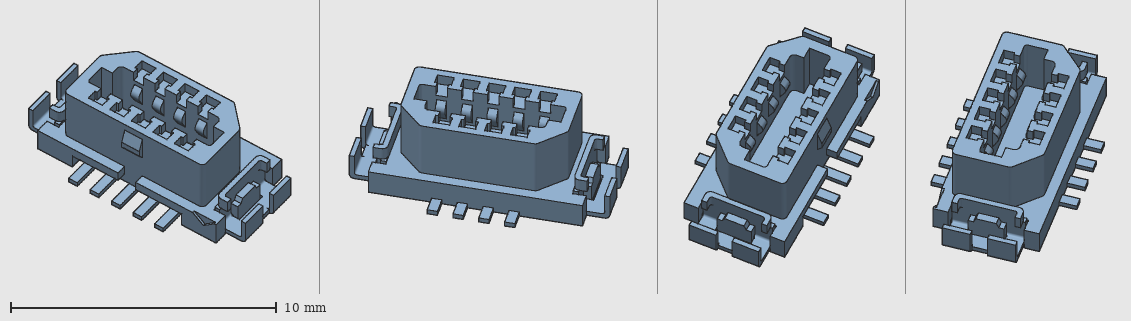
import cadquery as cq
import math

base_length = 8.3
base_width = 4.2
base_height = 1.0
wall_clear = 0.05

shell_length = 6.5
shell_width = 3.36
shell_top = 3.3
shell_chamfer = 1.0
shell_edge_radius = 0.2

cavity_length = 5.7
cavity_upper_length = 4.7
cavity_width = 1.4
cavity_step_y = 0.2
cavity_floor = 1.0
cavity_low_radius = 0.12
cavity_high_radius = 0.2

pitch = 1.0
front_count = 5
back_count = 4
opening_depth = 0.43
opening_neck_width = 0.45
opening_neck_length = 0.24
opening_head_width = 0.65
opening_head_length = 0.43
nose_width = 0.38
nose_height = 0.86
nose_reach = 0.24
nose_lead = 0.16
nose_embed = 0.1
nose_gap = 0.21

pin_width = 0.4
pin_thickness = 0.2
pin_span = 5.6
pin_anchor = 0.2

window_length = 5.08
window_height = 0.6
latch_width = 0.82
latch_reach = 0.19
latch_bottom = 2.0
latch_land_low = 2.22
latch_land_high = 2.49
latch_top = 3.0
underside_setback = 0.2

mark_x = 3.56
mark_width = 1.0
mark_height = 0.4
mark_depth = 0.1

metal = 0.2
wall_metal = 0.22
bend_inner = 0.1
bend_outer = 0.2
clip_length = 10.1
clip_width = 2.9
clip_inner_x = 3.62
clip_wall_top = 1.09
lug_gap = 0.68
hook_top = 1.6
hook_width = 2.72
hook_inner = 0.1
hook_outer = 0.22
slot_width = 1.48
slot_inner_x = 3.91
slot_outer_x = 4.25

tab_width = 1.42
tab_shoulder_width = 1.0
tab_top_width = 0.8
tab_shoulder_z = 0.8
tab_top = base_height

base_end = base_length / 2
base_side = base_width / 2
shell_side = shell_width / 2
cavity_side = cavity_width / 2


def block(x0, x1, y0, y1, z0, z1):
    """Box given by its limits along each axis."""
    return cq.Workplane("XY").box(x1 - x0, y1 - y0, z1 - z0, centered=False).translate((x0, y0, z0))


def row(count):
    """Positions of equally pitched contacts centred on X = 0."""
    return [(i - (count - 1) / 2) * pitch for i in range(count)]


def make_base():
    body = cq.Workplane("XY").box(base_length, base_width, base_height, centered=(True, True, False))
    notch_side = clip_width / 2 + wall_clear
    for side in (-1, 1):
        x0, x1 = sorted((side * clip_inner_x, side * base_end))
        body = body.cut(block(x0, x1, -notch_side, notch_side, 0, base_height))
        x0, x1 = sorted((side * clip_inner_x, side * (clip_inner_x + wall_metal)))
        ledge = block(x0, x1, -notch_side, notch_side, 0, metal)
        body = body.union(ledge)
    return body


def make_shell():
    half = shell_length / 2
    outline = [
        (-half, -shell_side),
        (half, -shell_side),
        (half, shell_side - shell_chamfer),
        (half - shell_chamfer, shell_side),
        (shell_chamfer - half, shell_side),
        (-half, shell_side - shell_chamfer),
    ]
    shell = cq.Workplane("XY").polyline(outline).close().extrude(shell_top)
    return shell.edges("|Z").fillet(shell_edge_radius)


def make_cavity():
    depth = shell_top - cavity_floor
    lower_width = cavity_side + cavity_step_y
    lower = cq.Workplane("XY").box(cavity_length, lower_width, depth, centered=(True, False, False))
    lower = lower.edges("|Z and <Y").fillet(cavity_low_radius).translate((0, -cavity_side, cavity_floor))
    upper = cq.Workplane("XY").box(cavity_upper_length, cavity_side, depth, centered=(True, False, False))
    upper = upper.edges("|Z and >Y").fillet(cavity_high_radius).translate((0, 0, cavity_floor))
    return lower.union(upper)


def make_opening(x, side):
    """T-shaped contact opening, on the front (-1) or back (1) of the cavity."""
    z0 = shell_top - opening_depth
    neck_end = cavity_side + opening_neck_length
    head_end = neck_end + opening_head_length
    neck_half = opening_neck_width / 2
    head_half = opening_head_width / 2
    y0, y1 = sorted((side * cavity_step_y, side * neck_end))
    neck = block(x - neck_half, x + neck_half, y0, y1, z0, shell_top)
    y0, y1 = sorted((side * neck_end, side * head_end))
    head = block(x - head_half, x + head_half, y0, y1, z0, shell_top)
    return neck.union(head)


def make_nose(x, side):
    """Contact nose: a 45 degree lead-in, a rounded tip and a flank running back to the wall."""
    top = shell_top - opening_depth - nose_gap

    tip_radius = (nose_reach - nose_lead) / (1 - math.cos(math.pi / 4))
    centre_out = nose_reach - tip_radius
    centre_down = nose_lead + tip_radius * math.sin(math.pi / 4)
    foot_distance = math.hypot(centre_out, nose_height - centre_down)
    foot_angle = math.atan2(nose_height - centre_down, -centre_out)
    tangent_angle = foot_angle - math.acos(tip_radius / foot_distance)
    tangent_out = centre_out + tip_radius * math.cos(tangent_angle)
    tangent_down = centre_down + tip_radius * math.sin(tangent_angle)

    def at(out, down):
        return side * (cavity_side - out), top - down

    profile = (
        cq.Workplane("YZ")
        .moveTo(*at(-nose_embed, 0))
        .lineTo(*at(0, 0))
        .lineTo(*at(nose_lead, nose_lead))
        .threePointArc(at(nose_reach, centre_down), at(tangent_out, tangent_down))
        .lineTo(*at(0, nose_height))
        .lineTo(*at(-nose_embed, nose_height))
        .close()
    )
    return profile.extrude(nose_width / 2, both=True).translate((x, 0, 0))


def make_pin(x, side):
    inner = shell_side - underside_setback - pin_anchor
    y0, y1 = sorted((side * inner, side * pin_span / 2))
    return block(x - pin_width / 2, x + pin_width / 2, y0, y1, 0, pin_thickness)


def make_front_cuts():
    """Window in the base front, latch gap above it and undercut below the shell."""
    half = window_length / 2
    window = block(-half, half, -base_side, -shell_side, 0, window_height)
    gap = block(-latch_width / 2, latch_width / 2, -base_side, -shell_side, 0, base_height)
    undercut = block(-half, half, -base_side, underside_setback - shell_side, 0, pin_thickness)
    return window.union(gap).union(undercut)


def make_mark():
    triangle = [
        (mark_x - mark_width / 2, base_height),
        (mark_x + mark_width / 2, base_height),
        (mark_x, base_height - mark_height),
    ]
    mark = cq.Workplane("XZ").polyline(triangle).close().extrude(mark_depth)
    return mark.translate((0, mark_depth - base_side, 0))


def make_latch():
    face = -shell_side
    profile = [
        (face + shell_edge_radius, latch_bottom),
        (face, latch_bottom),
        (face - latch_reach, latch_land_low),
        (face - latch_reach, latch_land_high),
        (face, latch_top),
        (face + shell_edge_radius, latch_top),
    ]
    return cq.Workplane("YZ").polyline(profile).close().extrude(latch_width / 2, both=True)


def make_clip_channel():
    """U-bent strip: lugs outside, a plate, and a wall against the base."""
    end = clip_length / 2
    outer = (
        block(clip_inner_x, end, -clip_width / 2, clip_width / 2, 0, clip_wall_top)
        .edges("|Y and <Z").fillet(bend_outer)
    )
    inner = (
        block(clip_inner_x + wall_metal, end - metal, -clip_width / 2, clip_width / 2, metal, clip_wall_top)
        .edges("|Y and <Z").fillet(bend_inner)
    )
    lug_split = block(end - metal, end, -lug_gap / 2, lug_gap / 2, 0, clip_wall_top)
    lug_split = lug_split.union(
        block(end - metal - bend_inner, end, -lug_gap / 2, lug_gap / 2, metal, clip_wall_top)
    )
    slot = block(slot_inner_x, slot_outer_x, -slot_width / 2, slot_width / 2, 0, metal)
    return outer.cut(inner).cut(lug_split).cut(slot)


def make_hook():
    """Upper part of the clip wall, with both ends turned outward."""
    height = hook_top - clip_wall_top
    half = hook_width / 2
    outer = block(clip_inner_x, base_end, -half, half, 0, height)
    outer = outer.edges("|Z and <X").fillet(hook_outer)
    inner = block(clip_inner_x + wall_metal, base_end, wall_metal - half, half - wall_metal, 0, height)
    inner = inner.edges("|Z and <X").fillet(hook_inner)
    return outer.cut(inner).translate((0, 0, clip_wall_top))


def make_tab():
    half = tab_width / 2
    shoulder = tab_shoulder_width / 2
    top = tab_top_width / 2
    profile = [
        (-half, 0),
        (half, 0),
        (half, tab_shoulder_z),
        (shoulder, tab_shoulder_z),
        (top, tab_top),
        (-top, tab_top),
        (-shoulder, tab_shoulder_z),
        (-half, tab_shoulder_z),
    ]
    tab = cq.Workplane("YZ").polyline(profile).close().extrude(base_end - clip_inner_x)
    return tab.translate((clip_inner_x, 0, 0))


contacts = [(x, -1) for x in row(front_count)] + [(x, 1) for x in row(back_count)]

result = make_base().union(make_shell()).cut(make_cavity()).cut(make_front_cuts()).cut(make_mark())
result = result.union(make_latch())

for x, side in contacts:
    result = result.cut(make_opening(x, side))
for x, side in contacts:
    result = result.union(make_nose(x, side)).union(make_pin(x, side))

clip = make_clip_channel().union(make_hook()).union(make_tab())
result = result.union(clip).union(clip.mirror("YZ"))